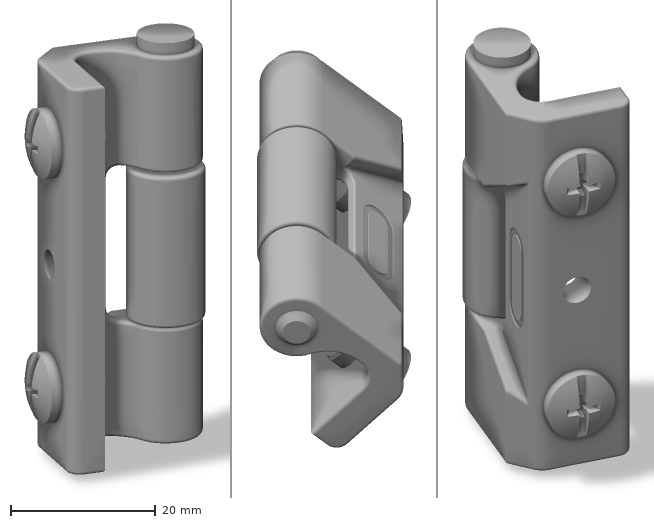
import cadquery as cq
import math


leaf_height = 57.05
knuckle_radius = 5.15
plate_end_x = 12.3
plate_outer_y = -18.85
plate_thickness = 5.0
plate_inner_y = plate_outer_y + plate_thickness
wall_inner_x = -1.3
corner_chamfer = 3.8
cove_radius = 6.45
inner_corner_radius = 3.0
chamfer_plate_radius = 3.0
chamfer_wall_radius = 0.6
plate_end_radius = 2.0
edge_radius = 0.5

gap_half_height = 11.5
gap_floor_y = -8.3
gap_corner_radius = 2.0
recess_depth = 2.4
recess_floor_x = -knuckle_radius + recess_depth
recess_start_y = gap_floor_y + gap_corner_radius
recess_slope = math.radians(30)
inner_edge_radius = 0.35

badge_center_y = -12.8
badge_outer_length = 15.5
badge_outer_width = 5.55
badge_groove_width = 1.0
badge_groove_depth = 0.2

barrel_diameter = 11.0
barrel_bottom_z = -11.35
barrel_top_z = 10.9

pin_diameter = 5.9
pin_head_diameter = 8.0
pin_top_z = 30.25
pin_bottom_z = -29.55
pin_end_chamfer = 1.0

fastener_x = 3.95
screw_z = 18.0
plain_hole_diameter = 4.2
screw_diameter = 5.0
screw_end_y = -11.25
screw_end_chamfer = 0.35
screw_head_diameter = 10.0
screw_rim_height = 1.6
screw_dome_height = 1.3
screw_rim_y = plate_outer_y - screw_rim_height
screw_tip_y = screw_rim_y - screw_dome_height
slot_width = 1.4
slot_floor_y = -20.35
cross_floor_y = -19.4
cross_arm_width = 1.1
cross_floor_half_length = 1.3
cross_mouth_half_length = 2.65


def cylinder_y(x, z, diameter, start_y, end_y):
    """Cylinder along Y, centred at (x, z)."""
    length = end_y - start_y
    return cq.Workplane("XZ", origin=(x, start_y, z)).circle(diameter / 2).extrude(-length)


def leaf_blank():
    """Extruded hook profile: knuckle, wall, chamfered corner and plate."""
    cove_x = wall_inner_x + cove_radius
    center_distance = knuckle_radius + cove_radius
    cove_y = -math.sqrt(center_distance**2 - cove_x**2)
    tangent = (cove_x * knuckle_radius / center_distance, cove_y * knuckle_radius / center_distance)
    cove_mid_angle = (math.pi + math.atan2(-cove_y, -cove_x)) / 2
    cove_mid = (
        cove_x + cove_radius * math.cos(cove_mid_angle),
        cove_y + cove_radius * math.sin(cove_mid_angle),
    )
    knuckle_mid_angle = math.radians(45)
    knuckle_mid = (
        knuckle_radius * math.cos(knuckle_mid_angle),
        knuckle_radius * math.sin(knuckle_mid_angle),
    )
    chamfer_top = (-knuckle_radius, plate_outer_y + corner_chamfer)
    chamfer_bottom = (-knuckle_radius + corner_chamfer, plate_outer_y)
    blank = (
        cq.Workplane("XY", origin=(0, 0, -leaf_height / 2))
        .moveTo(-knuckle_radius, 0)
        .threePointArc(knuckle_mid, tangent)
        .threePointArc(cove_mid, (wall_inner_x, cove_y))
        .lineTo(wall_inner_x, plate_inner_y)
        .lineTo(plate_end_x, plate_inner_y)
        .lineTo(plate_end_x, plate_outer_y)
        .lineTo(*chamfer_bottom)
        .lineTo(*chamfer_top)
        .close()
        .extrude(leaf_height)
    )
    upright_rounds = [
        ((wall_inner_x, plate_inner_y), inner_corner_radius),
        ((plate_end_x, plate_outer_y), plate_end_radius),
        (chamfer_bottom, chamfer_plate_radius),
        (chamfer_top, chamfer_wall_radius),
    ]
    for (x, y), radius in upright_rounds:
        blank = blank.edges(cq.selectors.NearestToPointSelector((x, y, 0))).fillet(radius)
    return blank.faces("<Z or >Z").edges().fillet(edge_radius)


def gap_cutter():
    """Rounded slot through the wall that clears the barrel."""
    reach = 2 * knuckle_radius
    length = reach - gap_floor_y
    return (
        cq.Workplane("XY")
        .box(2 * reach, length, 2 * gap_half_height)
        .translate((0, gap_floor_y + length / 2, 0))
        .edges("|X and <Y")
        .fillet(gap_corner_radius)
    )


def recess_half_height(y):
    """Half height of the recess at a given depth towards the plate."""
    return gap_half_height + (recess_start_y - y) * math.tan(recess_slope)


def recess_cutter():
    """Sloped recess that widens from the gap towards the plate."""
    wide = recess_half_height(plate_outer_y)
    return (
        cq.Workplane("YZ", origin=(recess_floor_x, 0, 0))
        .moveTo(recess_start_y, gap_half_height)
        .lineTo(plate_outer_y, wide)
        .lineTo(plate_outer_y, -wide)
        .lineTo(recess_start_y, -gap_half_height)
        .close()
        .extrude(-2 * recess_depth)
    )


def badge_groove():
    """Oblong ring groove cut into the recess floor."""
    inner_length = badge_outer_length - 2 * badge_groove_width
    inner_width = badge_outer_width - 2 * badge_groove_width
    floor = cq.Workplane("YZ", origin=(recess_floor_x, badge_center_y, 0))
    outer = floor.slot2D(badge_outer_length, badge_outer_width, 90).extrude(badge_groove_depth)
    inner = floor.slot2D(inner_length, inner_width, 90).extrude(badge_groove_depth)
    return outer.cut(inner)


def fillet_near(body, points, radius):
    """Fillet the edge nearest to each of the points, together with its tangent edges."""
    edges = []
    for point in points:
        edges += body.edges(cq.selectors.NearestToPointSelector(point)).vals()
    return body.newObject(edges).fillet(radius)


def leaf_with_gap_and_recess():
    """Leaf with the barrel gap and the recess cut and their edges rounded."""
    leaf = leaf_blank().cut(recess_cutter()).cut(gap_cutter())

    floor_end_y = plate_outer_y + corner_chamfer - recess_depth
    wall_mid_y = (recess_start_y + floor_end_y) / 2
    wall_mid_z = recess_half_height(wall_mid_y)
    outer_edges = [(recess_floor_x, floor_end_y, 0)]
    inner_edges = [(recess_floor_x, gap_floor_y, 0)]
    for side in (1, -1):
        outer_edges.append((-knuckle_radius, recess_start_y / 2, side * gap_half_height))
        outer_edges.append((-knuckle_radius, wall_mid_y, side * wall_mid_z))
        inner_edges.append((recess_floor_x, wall_mid_y, side * wall_mid_z))
    leaf = fillet_near(leaf, outer_edges, edge_radius)
    return fillet_near(leaf, inner_edges, inner_edge_radius)


def make_leaf():
    """Leaf with the pin bore, screw holes and plain hole."""
    pin_bore = cq.Workplane("XY").circle(pin_diameter / 2).extrude(leaf_height, both=True)
    leaf = leaf_with_gap_and_recess().cut(badge_groove()).cut(pin_bore)
    holes = [(-screw_z, screw_diameter), (0, plain_hole_diameter), (screw_z, screw_diameter)]
    for z, diameter in holes:
        leaf = leaf.cut(cylinder_y(fastener_x, z, diameter, plate_outer_y, screw_end_y))
    return leaf


def make_barrel():
    """Plain bush that turns on the pin in the gap of the leaf."""
    return (
        cq.Workplane("XY", origin=(0, 0, barrel_bottom_z))
        .circle(barrel_diameter / 2)
        .extrude(barrel_top_z - barrel_bottom_z)
        .edges()
        .fillet(edge_radius)
        .faces(">Z")
        .workplane()
        .hole(pin_diameter)
    )


def make_pin():
    """Headed pin with a chamfered lower end."""
    head_z = leaf_height / 2
    shank = (
        cq.Workplane("XY", origin=(0, 0, pin_bottom_z))
        .circle(pin_diameter / 2)
        .extrude(head_z - pin_bottom_z)
        .faces("<Z")
        .chamfer(pin_end_chamfer)
    )
    head = (
        cq.Workplane("XY", origin=(0, 0, head_z))
        .circle(pin_head_diameter / 2)
        .extrude(pin_top_z - head_z)
    )
    return shank.union(head)


def cross_arm():
    """Tapered cutter for one straight arm pair of the cross recess, along X."""
    return (
        cq.Workplane("XY", origin=(0, 0, -cross_arm_width / 2))
        .moveTo(-cross_mouth_half_length, screw_tip_y)
        .lineTo(cross_mouth_half_length, screw_tip_y)
        .lineTo(cross_floor_half_length, cross_floor_y)
        .lineTo(-cross_floor_half_length, cross_floor_y)
        .close()
        .extrude(cross_arm_width)
    )


def make_screw(z):
    """Domed screw with a straight slot and a cross recess."""
    head_radius = screw_head_diameter / 2
    screw_radius = screw_diameter / 2
    sphere_radius = (head_radius**2 + screw_dome_height**2) / (2 * screw_dome_height)
    mid_x = head_radius / 2
    mid_y = screw_tip_y + sphere_radius - math.sqrt(sphere_radius**2 - mid_x**2)
    body = (
        cq.Workplane("XY")
        .moveTo(0, screw_tip_y)
        .threePointArc((mid_x, mid_y), (head_radius, screw_rim_y))
        .lineTo(head_radius, plate_outer_y)
        .lineTo(screw_radius, plate_outer_y)
        .lineTo(screw_radius, screw_end_y - screw_end_chamfer)
        .lineTo(screw_radius - screw_end_chamfer, screw_end_y)
        .lineTo(0, screw_end_y)
        .close()
        .revolve(360, (0, 0, 0), (0, 1, 0))
    )
    slot_depth = slot_floor_y - screw_tip_y
    slot = (
        cq.Workplane("XY")
        .box(slot_width, slot_depth, screw_head_diameter)
        .translate((0, slot_floor_y - slot_depth / 2, 0))
    )
    cross = cross_arm().union(cross_arm().rotate((0, 0, 0), (0, 1, 0), 90))
    return body.cut(slot).cut(cross).translate((fastener_x, 0, z))


leaf = make_leaf()
barrel = make_barrel()
pin = make_pin()
screws = [make_screw(z) for z in (-screw_z, screw_z)]

bodies = [leaf, barrel, pin, *screws]
result = cq.Compound.makeCompound([body.solids().val() for body in bodies])